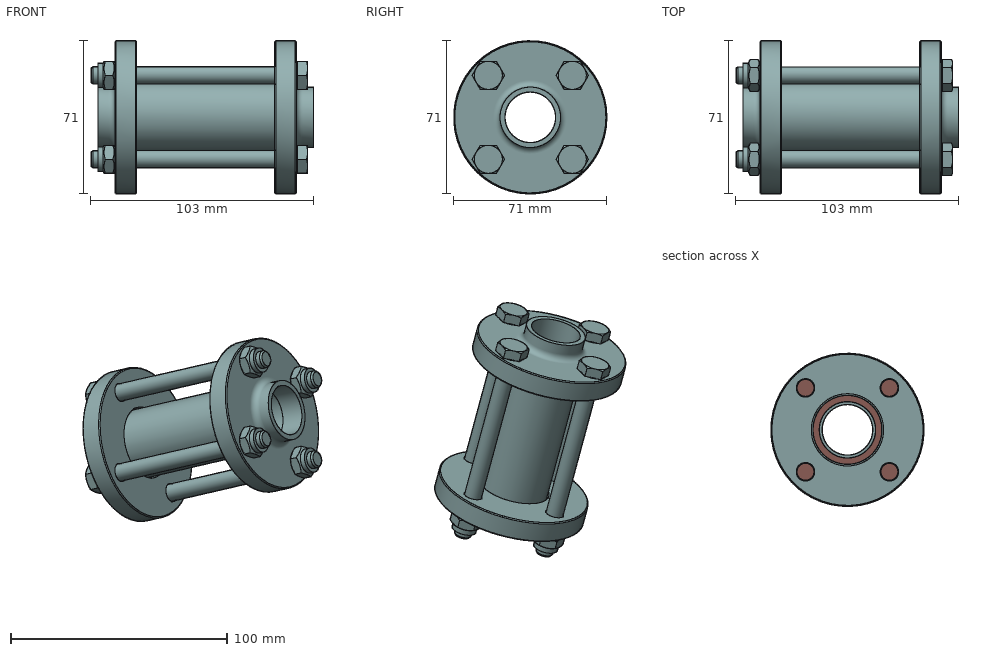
import cadquery as cq
import math

length = 103.0

pipe_length = 99.9
pipe_diameter = 28.0
bore_diameter = 23.3
stub_length = 5.0
stub_fillet = 3.0
flange_diameter = 71.0
flange_thickness = 10.0
flange_chamfer = 0.5

glass_diameter = 32.0
glass_bore = 26.0
socket_diameter = 33.5
socket_depth = 7.0

bolt_spacing = 38.8
bolt_diameter = 8.0
bolt_hole_diameter = 8.5
bolt_tip_diameter = 6.7
bolt_tip_chamfer = 0.9
hex_width = 13.0
collar_diameter = 11.4
collar_length = 2.4
nut_height = 5.6
washer_face_diameter = 11.6
washer_face_height = 0.5
head_height = 4.7
hex_chamfer_angle = math.radians(30)

pipe_start = length - pipe_length
middle = pipe_start + pipe_length / 2
flange_outer = pipe_start + stub_length + stub_fillet
flange_inner = flange_outer + flange_thickness
socket_floor = flange_inner - socket_depth
far_flange_outer = 2 * middle - flange_outer
far_socket_floor = 2 * middle - socket_floor
head_start = far_flange_outer + washer_face_height
head_end = head_start + head_height
nut_start = flange_outer - nut_height

hex_corner_diameter = hex_width / math.cos(math.radians(30))


def rod(start, end, diameter):
    """Round bar along X between two positions."""
    return cq.Workplane("YZ", origin=(start, 0, 0)).circle(diameter / 2).extrude(end - start)


def revolve_about_x(points):
    """Solid of revolution from a closed outline of (x, radius) points."""
    return cq.Workplane("XY").polyline(points).close().revolve(360, (0, 0, 0), (1, 0, 0))


def flange():
    """Flange at the low-X end: stub with a fillet root, through bore, glass socket and bolt holes."""
    pipe_radius = pipe_diameter / 2
    fillet_start = pipe_start + stub_length
    fillet_reach = stub_fillet * (1 - math.sqrt(0.5))
    rim = flange_diameter / 2
    body = (
        cq.Workplane("XY")
        .moveTo(pipe_start, 0)
        .lineTo(pipe_start, pipe_radius)
        .lineTo(fillet_start, pipe_radius)
        .threePointArc(
            (flange_outer - fillet_reach, pipe_radius + fillet_reach),
            (flange_outer, pipe_radius + stub_fillet),
        )
        .lineTo(flange_outer, rim - flange_chamfer)
        .lineTo(flange_outer + flange_chamfer, rim)
        .lineTo(flange_inner - flange_chamfer, rim)
        .lineTo(flange_inner, rim - flange_chamfer)
        .lineTo(flange_inner, 0)
        .close()
        .revolve(360, (0, 0, 0), (1, 0, 0))
    )
    body = body.cut(rod(pipe_start, flange_inner, bore_diameter))
    body = body.cut(rod(socket_floor, flange_inner, socket_diameter))
    return body.cut(at_bolt_places(rod(flange_outer, flange_inner, bolt_hole_diameter)))


def glass_tube():
    outside = rod(socket_floor, far_socket_floor, glass_diameter)
    return outside.cut(rod(socket_floor, far_socket_floor, glass_bore))


def hexagon(start, end):
    """Hexagonal bar along X with two corners pointing along Y."""
    return cq.Workplane("YZ", origin=(start, 0, 0)).polygon(6, hex_corner_diameter).extrude(end - start)


def corner_chamfer(face_diameter):
    """Chamfer length along X that reduces the hexagon corners to a round face."""
    return (hex_corner_diameter - face_diameter) / 2 * math.tan(hex_chamfer_angle)


def chamfered_nut():
    """Hexagon nut with both ends chamfered and a round locking collar outside."""
    corner = hex_corner_diameter / 2
    face = collar_diameter / 2
    chamfer = corner_chamfer(collar_diameter)
    envelope = revolve_about_x([
        (nut_start, 0),
        (nut_start, face),
        (nut_start + chamfer, corner),
        (flange_outer - chamfer, corner),
        (flange_outer, face),
        (flange_outer, 0),
    ])
    collar = rod(nut_start - collar_length, nut_start, collar_diameter)
    return hexagon(nut_start, flange_outer).intersect(envelope).union(collar)


def bolt_head():
    """Hexagon head with its outer end chamfered and a round washer face against the flange."""
    corner = hex_corner_diameter / 2
    face = hex_width / 2
    envelope = revolve_about_x([
        (head_start, 0),
        (head_start, corner),
        (head_end - corner_chamfer(hex_width), corner),
        (head_end, face),
        (head_end, 0),
    ])
    washer_face = rod(far_flange_outer, head_start, washer_face_diameter)
    return hexagon(head_start, head_end).intersect(envelope).union(washer_face)


def bolt_shank():
    """Round shank from the tapered tip at x = 0 up to the head."""
    return revolve_about_x([
        (0, 0),
        (0, bolt_tip_diameter / 2),
        (bolt_tip_chamfer, bolt_diameter / 2),
        (head_start, bolt_diameter / 2),
        (head_start, 0),
    ])


def at_bolt_places(shape):
    """Copies of a shape at the four corners of the square bolt pattern."""
    offset = bolt_spacing / 2
    copies = cq.Workplane("XY")
    for y in (-offset, offset):
        for z in (-offset, offset):
            copies = copies.add(shape.translate((0, y, z)))
    return copies.combine()


near_flange = flange()
far_flange = near_flange.mirror("YZ", (middle, 0, 0))
bolt = bolt_shank().union(chamfered_nut()).union(bolt_head())

result = near_flange.union(far_flange).union(glass_tube()).union(at_bolt_places(bolt))